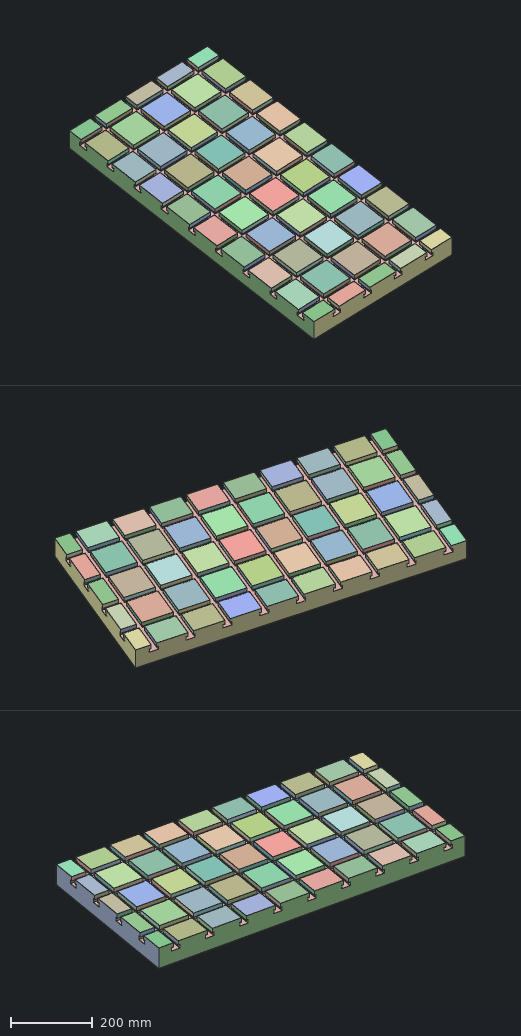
import cadquery as cq

length = 900.0
width = length / 2
thickness = 60.0

slots_along_length = 9
slots_along_width = 4
slot_pitch = length / slots_along_length

neck_width = 14.0
foot_width = 24.0
foot_height = 10.0
slot_depth = 22.5


def slot_positions(count):
    """Centre positions of equally spaced slots, symmetric about zero."""
    return [(i - (count - 1) / 2) * slot_pitch for i in range(count)]


def t_slot_along_y(run):
    """T-slot cutter running along Y, centred on X = 0 and open at the plate's top."""
    slot_floor = thickness - slot_depth
    neck = cq.Workplane("XY").box(neck_width, run, slot_depth, centered=(True, True, False))
    foot = cq.Workplane("XY").box(foot_width, run, foot_height, centered=(True, True, False))
    return neck.union(foot).translate((0, 0, slot_floor))


plate = cq.Workplane("XY").box(length, width, thickness, centered=(True, True, False))

cross_slot = t_slot_along_y(width)
for x in slot_positions(slots_along_length):
    plate = plate.cut(cross_slot.translate((x, 0, 0)))

long_slot = t_slot_along_y(length).rotate((0, 0, 0), (0, 0, 1), 90)
for y in slot_positions(slots_along_width):
    plate = plate.cut(long_slot.translate((0, y, 0)))

result = plate